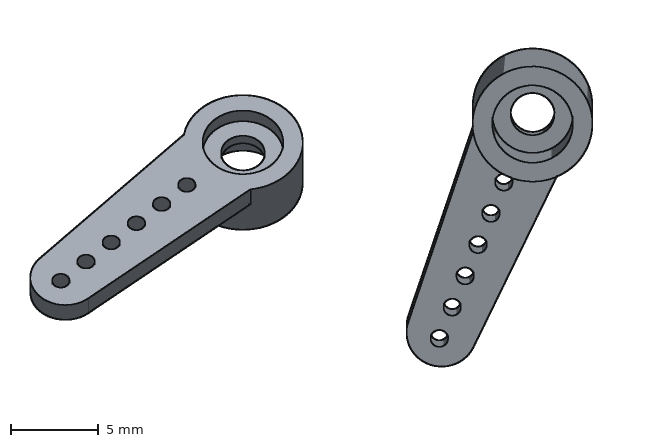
import cadquery as cq
import math

overall_length = 19.5

hub_diameter = 6.85
hub_radius = hub_diameter / 2
hub_height = 3.75

recess_diameter = 4.6
recess_depth = 1.0
screw_hole_diameter = 2.5
web_thickness = 0.7
socket_diameter = 4.6

arm_thickness = 1.38
arm_root_radius = 2.87
tip_radius = 2.0
tip_y = -(overall_length - hub_radius - tip_radius)

link_hole_diameter = 1.0
link_hole_count = 6
first_link_hole_y = -4.45
last_link_hole_y = -14.43
link_hole_pitch = (first_link_hole_y - last_link_hole_y) / (link_hole_count - 1)


def disc(diameter, top_z, height):
    """Vertical cylinder on the hub axis, hanging down from top_z."""
    return cq.Workplane("XY").workplane(offset=top_z - height).circle(diameter / 2).extrude(height)


def make_arm():
    """Arm whose sides are tangent to the tip and to a root circle on the hub axis."""
    taper = math.asin((arm_root_radius - tip_radius) / -tip_y)
    across, along = math.cos(taper), -math.sin(taper)
    root_x, root_y = arm_root_radius * across, arm_root_radius * along
    side_x, side_y = tip_radius * across, tip_y + tip_radius * along
    return (
        cq.Workplane("XY")
        .workplane(offset=hub_height - arm_thickness)
        .moveTo(root_x, root_y)
        .lineTo(side_x, side_y)
        .threePointArc((0, tip_y - tip_radius), (-side_x, side_y))
        .lineTo(-root_x, root_y)
        .close()
        .extrude(arm_thickness)
    )


def make_link_holes():
    centers = [(0, first_link_hole_y - i * link_hole_pitch) for i in range(link_hole_count)]
    return cq.Workplane("XY").pushPoints(centers).circle(link_hole_diameter / 2).extrude(hub_height)


socket_depth = hub_height - recess_depth - web_thickness

result = disc(hub_diameter, hub_height, hub_height).union(make_arm())
result = result.cut(disc(recess_diameter, hub_height, recess_depth))
result = result.cut(disc(screw_hole_diameter, hub_height, hub_height))
result = result.cut(disc(socket_diameter, socket_depth, socket_depth))
result = result.cut(make_link_holes())